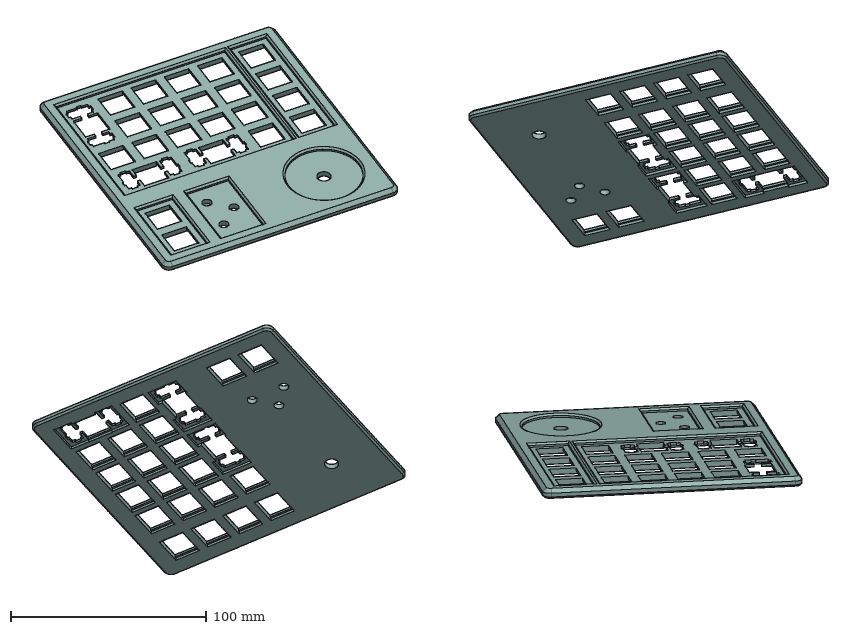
import cadquery as cq
plate_x = 144.5
plate_y = 135.0
plate_z = 5.0
corner_radius = 4.0
top_chamfer = 2.0
bottom_chamfer = 1.0

pitch = 19.1
key_size = 14.0
web_thickness = 1.5
clip_depth = 1.0
clearance = 0.7

recess_depth = 2.0
rim_chamfer = 1.0
border = 6.2

dial_diameter = 40.0
dial_hole_diameter = 7.2
dial_x = 44.7
dial_y = 37.7
jack_recess_height = 24.1
jack_y = -19.7
jack_hole_diameter = 5.0
jack_hole_rise = 5.3

wing_offset = 12.0
wing_width = 6.7
wing_top = 5.3
wing_bottom = -6.8
wing_notch_width = 3.2
wing_notch_depth = 1.0
bridge_top = 2.0
bridge_bottom = -2.0
tab_bottom = -0.5
tab_depth = 0.7
wing_pocket_margin = 1.5

undercut_height = plate_z - recess_depth - web_thickness

recess_inset = border + rim_chamfer + clearance
left_column_x = -plate_x / 2 + recess_inset + pitch / 2
right_pair_x = plate_x / 2 - recess_inset - pitch
bottom_row_y = -plate_y / 2 + recess_inset + pitch / 2
function_row_y = -bottom_row_y


def column_x(column):
    return left_column_x + column * pitch


def row_y(row):
    return bottom_row_y + row * pitch


def box_between(x_min, x_max, y_min, y_max, height=plate_z):
    """Block rising from the underside, through the full plate by default."""
    size_x = x_max - x_min
    size_y = y_max - y_min
    block = cq.Workplane("XY").box(size_x, size_y, height, centered=False)
    return block.translate((x_min, y_min, 0))


def key_field_size(count):
    return count * pitch + 2 * clearance


def rectangular_recess(x, y, size_x, size_y):
    """Rectangular pocket whose upper edge is bevelled outwards."""
    floor = cq.Workplane("XY").workplane(offset=plate_z - recess_depth).center(x, y)
    pocket = floor.rect(size_x, size_y).extrude(recess_depth)
    bevel = (
        cq.Workplane("XY").workplane(offset=plate_z).center(x, y)
        .rect(size_x + 2 * rim_chamfer, size_y + 2 * rim_chamfer)
        .workplane(offset=-rim_chamfer).rect(size_x, size_y).loft(ruled=True)
    )
    return pocket.union(bevel)


def dial_recess():
    """Round pocket whose upper edge is bevelled outwards."""
    radius = dial_diameter / 2
    profile = [
        (0, plate_z - recess_depth),
        (radius, plate_z - recess_depth),
        (radius, plate_z - rim_chamfer),
        (radius + rim_chamfer, plate_z),
        (0, plate_z),
    ]
    pocket = cq.Workplane("XZ").polyline(profile).close().revolve(360, (0, 0), (0, 1))
    return pocket.translate((dial_x, dial_y, 0))


def round_hole(x, y, diameter):
    return cq.Workplane("XY").center(x, y).circle(diameter / 2).extrude(plate_z)


def key_opening():
    """Square opening with clip undercuts behind its front and rear walls."""
    half = key_size / 2
    clip_reach = half + clip_depth
    clips = box_between(-half, half, -clip_reach, clip_reach, undercut_height)
    return box_between(-half, half, -half, half).union(clips)


def stabiliser_opening():
    """Pair of notched, relieved wings joined by a bridge; the key opening goes between them."""
    opening = box_between(-wing_offset, wing_offset, bridge_bottom, bridge_top)
    for side in (-1, 1):
        centre = side * wing_offset
        wing = box_between(centre - wing_width / 2, centre + wing_width / 2, wing_bottom, wing_top)
        notch = box_between(
            centre - wing_notch_width / 2,
            centre + wing_notch_width / 2,
            wing_bottom - wing_notch_depth,
            wing_top + wing_notch_depth,
        )
        tip = side * (wing_offset + wing_width / 2 + tab_depth)
        tab = box_between(min(centre, tip), max(centre, tip), tab_bottom, bridge_top)
        inner = side * key_size / 2
        outer = tip + side * wing_pocket_margin
        relief = box_between(
            min(inner, outer),
            max(inner, outer),
            wing_bottom - wing_notch_depth - wing_pocket_margin,
            wing_top + wing_notch_depth + wing_pocket_margin,
            undercut_height,
        )
        opening = opening.union(wing).union(notch).union(tab).union(relief)
    return opening


result = (
    cq.Workplane("XY").box(plate_x, plate_y, plate_z, centered=(True, True, False))
    .edges("|Z").fillet(corner_radius)
    .faces(">Z").edges().chamfer(top_chamfer)
    .faces("<Z").edges().chamfer(bottom_chamfer)
)

field_x = column_x(1.5)
pair_width = key_field_size(2)
single_row = key_field_size(1)
result = result.cut(rectangular_recess(field_x, row_y(2), key_field_size(4), key_field_size(5)))
result = result.cut(rectangular_recess(field_x, function_row_y, key_field_size(4), single_row))
result = result.cut(rectangular_recess(right_pair_x, bottom_row_y, pair_width, single_row))
result = result.cut(rectangular_recess(right_pair_x, jack_y, pair_width, jack_recess_height))

result = result.cut(dial_recess())
result = result.cut(round_hole(dial_x, dial_y, dial_hole_diameter))

jack_hole_places = [
    (right_pair_x, jack_y + jack_hole_rise),
    (right_pair_x - pitch / 2, jack_y - jack_hole_rise),
    (right_pair_x + pitch / 2, jack_y - jack_hole_rise),
]
for x, y in jack_hole_places:
    result = result.cut(round_hole(x, y, jack_hole_diameter))

lying_place = (column_x(0.5), row_y(0))
standing_places = [(column_x(3), row_y(0.5)), (column_x(3), row_y(2.5))]

key_places = [(column_x(column), function_row_y) for column in range(4)]
key_places += [(column_x(column), row_y(row)) for row in range(1, 5) for column in range(3)]
key_places += [(column_x(3), row_y(4)), (column_x(2), row_y(0))]
key_places += [(right_pair_x - pitch / 2, bottom_row_y), (right_pair_x + pitch / 2, bottom_row_y)]
key_places += [lying_place] + standing_places
for x, y in key_places:
    result = result.cut(key_opening().translate((x, y, 0)))

lying_stabiliser = stabiliser_opening()
standing_stabiliser = lying_stabiliser.rotate((0, 0, 0), (0, 0, 1), -90)
result = result.cut(lying_stabiliser.translate((*lying_place, 0)))
for x, y in standing_places:
    result = result.cut(standing_stabiliser.translate((x, y, 0)))